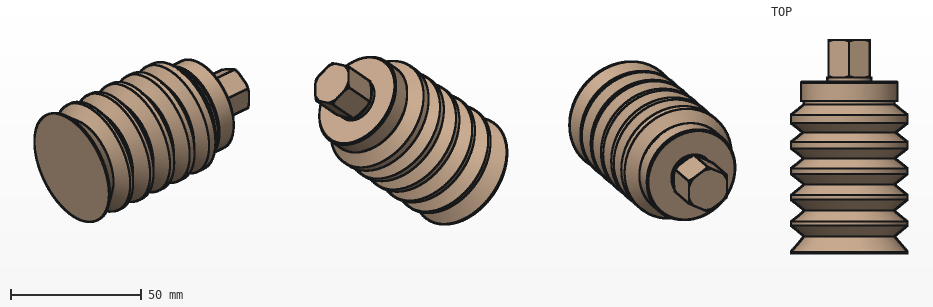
import cadquery as cq
import math

total_length = 82.0
bellows_diameter = 45.0
neck_diameter = 35.0
flange_diameter = 37.2
collar_diameter = 17.0
hex_across_flats = 16.0

lip_end = 0.6
bellows_end = 57.2
flange_start = 58.5
flange_end = 66.0
hex_start = 67.6

flange_chamfer = 0.5
hex_face_diameter = 16.7
hex_chamfer_angle = 30.0

folds = [
    (6.5, 34.9, 10.7, 12.1),
    (16.4, 34.5, 20.6, 22.3),
    (26.5, 34.85, 30.5, 32.6),
    (36.5, 35.3, 40.35, 42.8),
    (46.4, 35.8, 50.0, 53.2),
]


def revolve_about_y(points):
    """Solid of revolution about Y from (radius, y) points that start and end on the axis."""
    return cq.Workplane("XY").polyline(points).close().revolve(360, (0, 0, 0), (0, 1, 0))


def make_body():
    """Bellows, neck, flange and collar as one turned profile."""
    ridge_radius = bellows_diameter / 2
    neck_radius = neck_diameter / 2
    flange_radius = flange_diameter / 2
    collar_radius = collar_diameter / 2

    points = [(0, 0), (ridge_radius, 0), (ridge_radius, lip_end)]
    for valley_y, valley_diameter, ridge_start, ridge_end in folds:
        points.append((valley_diameter / 2, valley_y))
        points.append((ridge_radius, ridge_start))
        points.append((ridge_radius, ridge_end))
    points += [
        (neck_radius, bellows_end),
        (neck_radius, flange_start),
        (flange_radius, flange_start),
        (flange_radius, flange_end - flange_chamfer),
        (flange_radius - flange_chamfer, flange_end),
        (collar_radius, flange_end),
        (collar_radius, hex_start),
        (0, hex_start),
    ]
    return revolve_about_y(points)


def make_hexagon():
    """Hexagonal fitting with corners along Z and conical chamfers at both ends."""
    corner_diameter = hex_across_flats / math.cos(math.pi / 6)
    corner_radius = corner_diameter / 2
    face_radius = hex_face_diameter / 2
    chamfer_length = (corner_radius - face_radius) * math.tan(math.radians(hex_chamfer_angle))

    prism = (
        cq.Workplane("XZ", origin=(0, hex_start, 0))
        .transformed(rotate=(0, 0, 90))
        .polygon(6, corner_diameter)
        .extrude(hex_start - total_length)
    )
    envelope = revolve_about_y([
        (0, hex_start),
        (face_radius, hex_start),
        (corner_radius, hex_start + chamfer_length),
        (corner_radius, total_length - chamfer_length),
        (face_radius, total_length),
        (0, total_length),
    ])
    return prism.intersect(envelope)


result = make_body().union(make_hexagon())